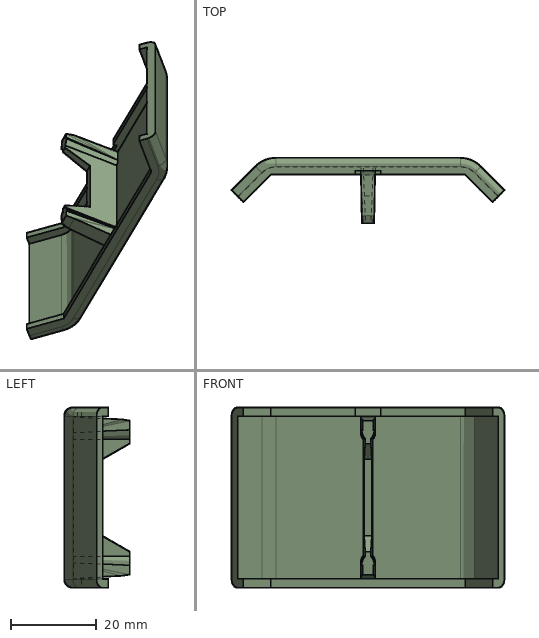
import cadquery as cq
import math

length = 63.85
height = 42.2
plate_thickness = 2.1
rim_depth = 3.95
rim_width = 2.1
edge_radius = 2.05
bend_angle = 45.0
bend_start = 21.5
bend_radius = 6.85
notch_width = 5.95
notch_floor = 3.05

rib_depth = 8.95
rib_root_half = 1.15
rib_tip_half = 0.65
rib_ramp_start = 8.95
rib_ramp_end = 12.65

prong_depth = 15.4
prong_kink_depth = 13.5
prong_root_half = 1.7
prong_tip_half = 1.5
prong_rim_end = 18.8
prong_kink_end = 18.3
prong_tip_end = 18.0
bulge_end = 13.65
flank_root_z = 15.2
flank_tip_z = 15.85
flank_tip_half = 1.2

root_sink = 0.3
root_depth = plate_thickness - root_sink
prong_root_end = height / 2 - rim_width
bend = math.radians(bend_angle)


def bent_slab(back_depth, front_depth, slab_height):
    """Bent strip between two depths: rounded bends behind, sharp corners in front."""
    def wing_end(depth):
        wing_drop = (length / 2 - bend_start - bend_radius * math.sin(bend)) * math.tan(bend)
        radius = bend_radius - depth
        return (length / 2 - depth * math.sin(bend),
                -bend_radius + radius * math.cos(bend) - wing_drop)

    def on_bend(angle):
        radius = bend_radius - back_depth
        return (bend_start + radius * math.sin(angle), -bend_radius + radius * math.cos(angle))

    def mirrored(point):
        return (-point[0], point[1])

    start, middle, end = on_bend(0), on_bend(bend / 2), on_bend(bend)
    corner = (bend_start + (bend_radius - front_depth) * math.tan(bend / 2), -front_depth)
    back_tip, front_tip = wing_end(back_depth), wing_end(front_depth)
    return (
        cq.Workplane("XY").workplane(offset=-slab_height / 2)
        .moveTo(*mirrored(start)).lineTo(*start)
        .threePointArc(middle, end).lineTo(*back_tip)
        .lineTo(*front_tip).lineTo(*corner)
        .lineTo(*mirrored(corner)).lineTo(*mirrored(front_tip))
        .lineTo(*mirrored(back_tip)).lineTo(*mirrored(end))
        .threePointArc(mirrored(middle), mirrored(start))
        .close().extrude(slab_height)
    )


def make_cover():
    body = bent_slab(0, rim_depth, height)
    body = body.faces(">Y").edges("|X").fillet(edge_radius)
    pocket = bent_slab(plate_thickness, rim_depth, height - 2 * rim_width)
    notch_depth = rim_depth - notch_floor
    notch = cq.Workplane("XY").box(notch_width, notch_depth, rim_width).translate(
        (0, -notch_floor - notch_depth / 2, (height - rim_width) / 2))
    return body.cut(pocket).cut(notch)


def rib_half(depth):
    """Drafted half thickness of the rib at a depth below the back."""
    share = (depth - plate_thickness) / (prong_depth - plate_thickness)
    return rib_root_half + share * (rib_tip_half - rib_root_half)


def make_rib():
    root = rib_half(root_depth)
    drafted = (
        cq.Workplane("XY").workplane(offset=-flank_root_z)
        .polyline([(-root, -root_depth), (root, -root_depth),
                   (rib_tip_half, -prong_depth), (-rib_tip_half, -prong_depth)])
        .close().extrude(2 * flank_root_z)
    )
    side = [(-root_depth, flank_root_z), (-prong_depth, flank_root_z),
            (-prong_depth, rib_ramp_end), (-rib_depth, rib_ramp_start)]
    side += [(y, -z) for y, z in reversed(side)]
    profile = cq.Workplane("YZ").polyline(side).close().extrude(length / 2, both=True)
    return drafted.intersect(profile)


def prong_section(depth, half, bulge_start):
    """Closed prong cross-section; its bulge narrows down to the rib."""
    neck = rib_half(depth)
    plane = cq.Plane(origin=(0, -depth, 0), xDir=(1, 0, 0), normal=(0, -1, 0))
    drop = bulge_start - bulge_end
    inset = half - neck
    radius = (inset**2 + drop**2) / (2 * inset)
    half_sweep = math.atan2(inset, drop)
    mid_x = half - radius * (1 - math.cos(half_sweep))
    mid_z = bulge_start - radius * math.sin(half_sweep)
    return (
        cq.Workplane(plane)
        .moveTo(-half, prong_root_end).lineTo(half, prong_root_end).lineTo(half, bulge_start)
        .threePointArc((mid_x, mid_z), (neck, bulge_end)).lineTo(-neck, bulge_end)
        .threePointArc((-mid_x, mid_z), (-half, bulge_start))
        .close().val()
    )


def make_prong():
    prong = cq.Workplane(cq.Solid.makeLoft([
        prong_section(root_depth, prong_root_half, flank_root_z),
        prong_section(prong_depth, prong_tip_half, flank_tip_z),
    ], True))
    side = [(-root_depth, 0), (-root_depth, prong_root_end), (-rim_depth, prong_rim_end),
            (-prong_kink_depth, prong_kink_end), (-prong_depth, prong_tip_end), (-prong_depth, 0)]
    prong = prong.intersect(
        cq.Workplane("YZ").polyline(side).close().extrude(length / 2, both=True))
    draft = (prong_root_half - prong_tip_half) / (prong_depth - root_depth)
    prong_kink_half = prong_tip_half + draft * (prong_depth - prong_kink_depth)
    root = (prong_root_half, -root_depth, flank_root_z)
    kink = (prong_kink_half, -prong_kink_depth, prong_kink_end)
    tip_end = (flank_tip_half, -prong_depth, prong_tip_end)
    tip_low = (flank_tip_half, -prong_depth, flank_tip_z)
    for facet in ([root, kink, tip_end], [root, tip_end, tip_low]):
        wire = cq.Wire.makePolygon([cq.Vector(*p) for p in facet], close=True)
        cutter = cq.Workplane(cq.Solid.extrudeLinear(wire, [], cq.Vector(prong_root_half, 0, 0)))
        prong = prong.cut(cutter).cut(cutter.mirror("YZ"))
    return prong


prong = make_prong()
result = make_cover().union(make_rib()).union(prong).union(prong.mirror("XY"))